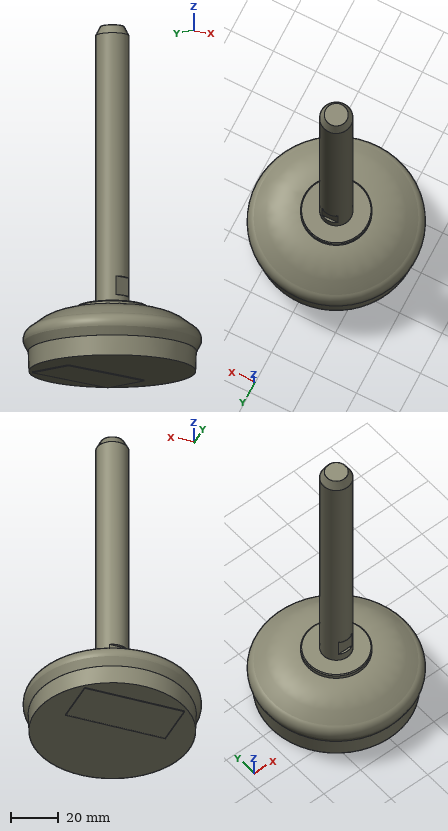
import cadquery as cq

MARK_HEIGHT = 0.5
PAD_TOP_Z = 8.9
RIM_LOW_Z = 12.4
RIM_WIDEST_Z = 13.9
DOME_LOW_Z = 18.5
DOME_MIDDLE_Z = 24.2
DOME_TOP_Z = 25.9
COLLAR_TOP_Z = 28.0
SPINDLE_TOP_Z = 147.8

PAD_BOTTOM_RADIUS = 35.0
PAD_TOP_RADIUS = 35.3
MARK_LENGTH_X = 45.2
MARK_WIDTH_Y = 21.3
MARK_CENTER_Y = 14.2

RIM_LOW_RADIUS = 37.3
BASE_RADIUS = 37.47
DOME_LOW_RADIUS = 34.6
DOME_MIDDLE_RADIUS = 25.1

COLLAR_RADIUS = 30.0 / 2
COLLAR_CHAMFER = 0.5

SPINDLE_RADIUS = 14.0 / 2
TIP_RADIUS = 10.0 / 2
TIP_HEIGHT = 3.8
FLAT_LOW_Z = 32.0
FLAT_HEIGHT = 8.0
FLAT_SPACING = 11.8


def make_pad():
    """Tapered rubber pad with a thin raised patch on its underside."""
    pad = (
        cq.Workplane("XZ")
        .moveTo(0, MARK_HEIGHT)
        .lineTo(PAD_BOTTOM_RADIUS, MARK_HEIGHT)
        .lineTo(PAD_TOP_RADIUS, PAD_TOP_Z)
        .lineTo(0, PAD_TOP_Z)
        .close()
        .revolve(360, (0, 0), (0, 1))
    )
    mark = (
        cq.Workplane("XY")
        .center(0, MARK_CENTER_Y)
        .rect(MARK_LENGTH_X, MARK_WIDTH_Y)
        .extrude(MARK_HEIGHT)
    )
    return pad.union(mark)


def make_base():
    """Domed base with a rounded rim, flat where the collar rests."""
    return (
        cq.Workplane("XZ")
        .moveTo(0, PAD_TOP_Z)
        .lineTo(PAD_TOP_RADIUS, PAD_TOP_Z)
        .lineTo(RIM_LOW_RADIUS, RIM_LOW_Z)
        .threePointArc((BASE_RADIUS, RIM_WIDEST_Z), (DOME_LOW_RADIUS, DOME_LOW_Z))
        .threePointArc((DOME_MIDDLE_RADIUS, DOME_MIDDLE_Z), (COLLAR_RADIUS, DOME_TOP_Z))
        .lineTo(0, DOME_TOP_Z)
        .close()
        .revolve(360, (0, 0), (0, 1))
    )


def make_collar():
    """Ring around the foot of the spindle, chamfered on its outer top edge."""
    return (
        cq.Workplane("XY")
        .workplane(offset=DOME_TOP_Z)
        .circle(COLLAR_RADIUS)
        .extrude(COLLAR_TOP_Z - DOME_TOP_Z)
        .faces(">Z")
        .chamfer(COLLAR_CHAMFER)
        .cut(
            cq.Workplane("XY")
            .workplane(offset=DOME_TOP_Z)
            .circle(SPINDLE_RADIUS)
            .extrude(COLLAR_TOP_Z - DOME_TOP_Z)
        )
    )


def make_spindle():
    """Round spindle with a conical tip and two opposite wrench flats."""
    spindle = (
        cq.Workplane("XZ")
        .moveTo(0, DOME_TOP_Z)
        .lineTo(SPINDLE_RADIUS, DOME_TOP_Z)
        .lineTo(SPINDLE_RADIUS, SPINDLE_TOP_Z - TIP_HEIGHT)
        .lineTo(TIP_RADIUS, SPINDLE_TOP_Z)
        .lineTo(0, SPINDLE_TOP_Z)
        .close()
        .revolve(360, (0, 0), (0, 1))
    )
    cutter_size = 2 * SPINDLE_RADIUS
    for side in (-1, 1):
        cutter_y = side * (FLAT_SPACING + cutter_size) / 2
        cutter = (
            cq.Workplane("XY", origin=(0, cutter_y, FLAT_LOW_Z))
            .rect(cutter_size, cutter_size)
            .extrude(FLAT_HEIGHT)
        )
        spindle = spindle.cut(cutter)
    return spindle


pad = make_pad()
base = make_base()
collar = make_collar()
spindle = make_spindle()

result = cq.Compound.makeCompound([pad.val(), base.val(), collar.val(), spindle.val()])